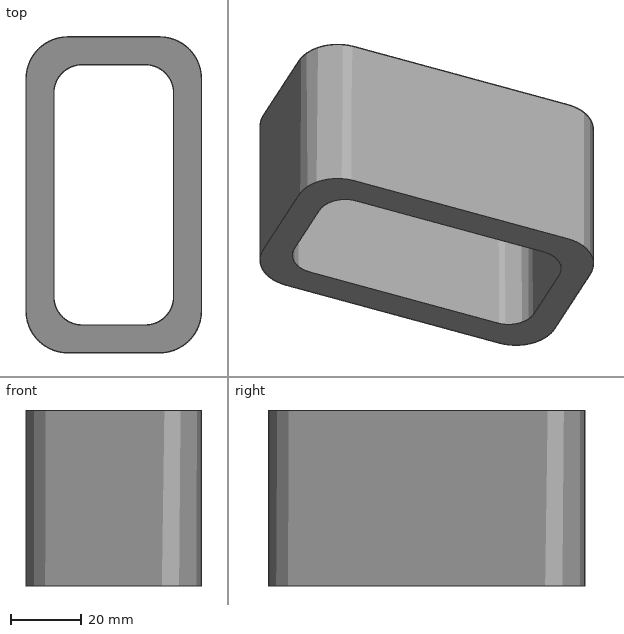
import cadquery as cq

width = 50.0
depth = 90.0
height = 50.0
wall = 8.0
outer_radius = 1.5 * wall
inner_radius = 1.0 * wall


def rounded_block(size_x, size_y, corner_radius):
    """Full-height block, centred on Z, with its four upright edges rounded."""
    block = cq.Workplane("XY").rect(size_x, size_y).extrude(height)
    return block.edges("|Z").fillet(corner_radius)


outer_body = rounded_block(width, depth, outer_radius)
through_opening = rounded_block(width - 2 * wall, depth - 2 * wall, inner_radius)

result = outer_body.cut(through_opening)